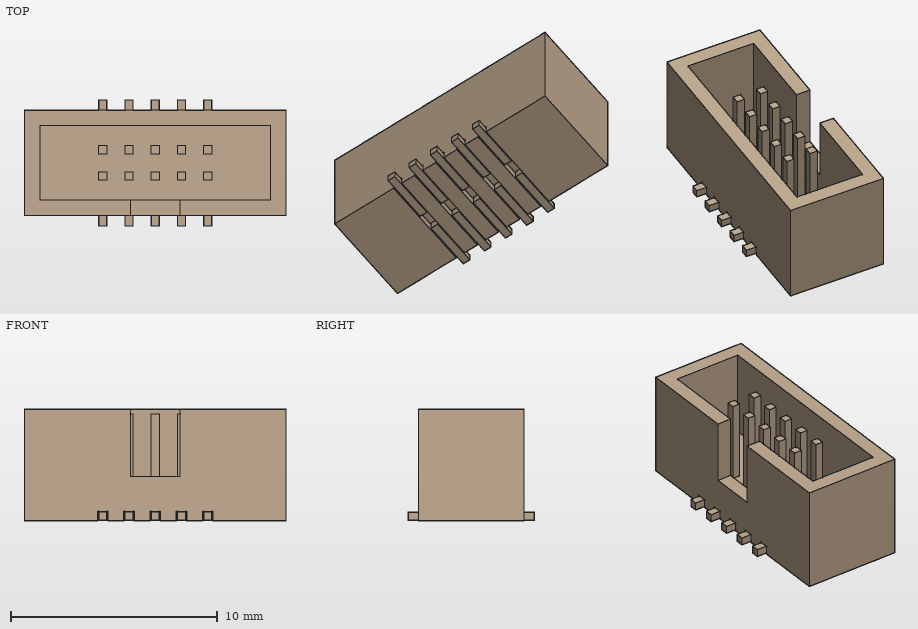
import cadquery as cq

BODY_LENGTH = 12.65
BODY_WIDTH = 5.1
BODY_HEIGHT = 5.4
WALL = 0.75
FLOOR_THICKNESS = 1.0

KEY_WIDTH = 2.4
KEY_DEPTH = 3.25

CONTACTS_PER_ROW = 5
PITCH = 1.27
PIN_SIZE = 0.4
PIN_TIP_Z = 5.15
LEAD_SPAN = 6.1

CHANNEL_WIDTH = 0.5
CHANNEL_HEIGHT = 0.45
LEAD_BOTTOM_Z = (CHANNEL_HEIGHT - PIN_SIZE) / 2

ROW_SIDES = (-1, 1)
CONTACT_XS = [(i - (CONTACTS_PER_ROW - 1) / 2) * PITCH for i in range(CONTACTS_PER_ROW)]


def block(size_x, size_y, size_z, center_x=0, center_y=0, bottom_z=0):
    """Box centred at (center_x, center_y) and standing on bottom_z."""
    box = cq.Workplane("XY").box(size_x, size_y, size_z, centered=(True, True, False))
    return box.translate((center_x, center_y, bottom_z))


def shroud():
    """Open-topped housing with the key notch cut through its -Y wall."""
    cavity = block(
        BODY_LENGTH - 2 * WALL,
        BODY_WIDTH - 2 * WALL,
        BODY_HEIGHT - FLOOR_THICKNESS,
        bottom_z=FLOOR_THICKNESS,
    )
    notch = block(
        KEY_WIDTH,
        WALL,
        KEY_DEPTH,
        center_y=-(BODY_WIDTH - WALL) / 2,
        bottom_z=BODY_HEIGHT - KEY_DEPTH,
    )
    return block(BODY_LENGTH, BODY_WIDTH, BODY_HEIGHT).cut(cavity).cut(notch)


def lead_channel(x):
    """Groove across the whole underside that leaves clearance around the leads."""
    return block(CHANNEL_WIDTH, BODY_WIDTH, CHANNEL_HEIGHT, center_x=x)


def contact(x, side):
    """L-shaped contact: an upright pin with a lead running outward along the base."""
    pin_y = PITCH / 2
    lead_start = pin_y - PIN_SIZE / 2
    lead_end = LEAD_SPAN / 2
    lead_length = lead_end - lead_start
    lead_y = (lead_start + lead_end) / 2
    pin = block(PIN_SIZE, PIN_SIZE, PIN_TIP_Z - LEAD_BOTTOM_Z, x, side * pin_y, LEAD_BOTTOM_Z)
    lead = block(PIN_SIZE, lead_length, PIN_SIZE, x, side * lead_y, LEAD_BOTTOM_Z)
    return pin.union(lead)


result = shroud()
for contact_x in CONTACT_XS:
    result = result.cut(lead_channel(contact_x))
    for row_side in ROW_SIDES:
        result = result.union(contact(contact_x, row_side))